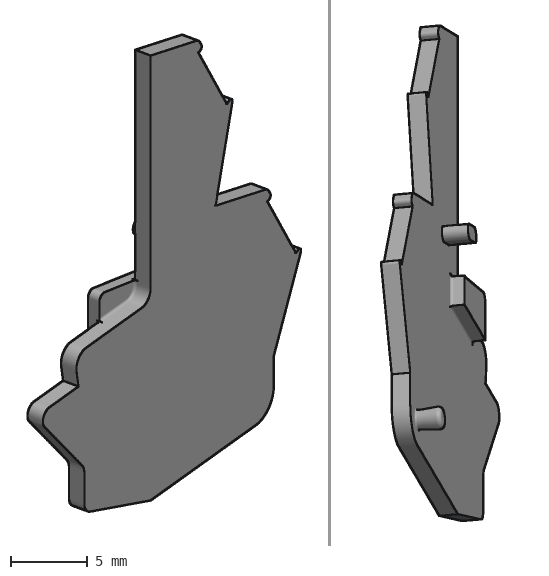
import cadquery as cq
import math

PLATE_THICKNESS = 1.25
PLATE_HEIGHT = 33.97
STEP_TILT = 15.0
STEP_SHIFT_Y = 7.68
STEP_SHIFT_Z = -15.13

FLANK_LEAN = 30.0
FLANK_TOP_Y = 5.36
FLANK_TOP_Z = 31.54
FLANK_LENGTH = 6.29
LIP_HEIGHT = 0.5
LIP_RADIUS = 0.25
STEP_CORNER_RADIUS = 0.6
STEP_INNER_SETBACK = 0.45

FLANK_BASE_LEAN = 25.0
BODY_LEFT_Y = 13.73
BODY_LEFT_TOP_Z = 4.3
BODY_LEFT_RADIUS = 2.0
BODY_RIGHT_Y = -7.38
BODY_RIGHT_TOP_Z = 6.12
BODY_RIGHT_RADIUS = 1.0
BOTTOM_RISE = 20.0

NOSE_TOP_Z = 12.65
NOSE_LEAN = 40.0
NOSE_RADIUS = 0.75
NECK_Y = -8.03
NECK_LEAN = 10.0
SHOULDER_Z = 15.19
SHOULDER_RADIUS = 1.1
INNER_RADIUS = 1.0

TAB_HEIGHT = 0.92
TAB_LEFT_Y = 2.05
TAB_RIGHT_Y = -3.99
TAB_BOTTOM_Z = 13.95
TAB_LEDGE_Z = 16.03
TAB_LEDGE_LENGTH = 0.3
TAB_SLOPE = 12.0
TAB_CORNER_RADIUS = 0.5
TAB_ROOT_RADIUS = 0.2

PEG_HEIGHT = 1.75
BOSS_Y = 3.38
BOSS_Z = 18.38
BOSS_WIDTH = 1.06
BOSS_LENGTH = 2.5

PIN_Y = 11.7
PIN_Z = 1.79
PIN_HEAD_RADIUS = 0.75
PIN_NECK_RADIUS = 0.65
PIN_NECK_LENGTH = 0.3
PIN_TIP_RADIUS = 0.3
PIN_ROOT_RADIUS = 0.13

SHEET_SIDE = 3 * PLATE_HEIGHT


def tan_deg(angle):
    return math.tan(math.radians(angle))


def direction(angle):
    """Unit vector in the (Y, Z) plane at an angle from +Y, in degrees."""
    return cq.Vector(math.cos(math.radians(angle)), math.sin(math.radians(angle)))


def meet(start, start_angle, other, other_angle):
    """Crossing point of two lines, each given by a point and an angle."""
    along = direction(start_angle)
    across = direction(other_angle + 90)
    return start + along * ((other - start).dot(across) / along.dot(across))


def rounded_outline(corners):
    """Closed YZ outline from (point, radius) corners; radius 0 leaves a sharp corner.

    The first corner must be sharp.
    """
    stretches = []
    for index, (point, radius) in enumerate(corners):
        back = (corners[index - 1][0] - point).normalized()
        ahead = (corners[(index + 1) % len(corners)][0] - point).normalized()
        half_angle = back.getAngle(ahead) / 2
        setback = radius / math.tan(half_angle)
        bulge = radius / math.sin(half_angle) - radius
        middle = point + (back + ahead).normalized() * bulge
        stretches.append((radius, point + back * setback, middle, point + ahead * setback))

    outline = cq.Workplane("YZ").moveTo(*stretches[0][3].toTuple()[:2])
    for radius, entry, middle, leave in stretches[1:]:
        outline = outline.lineTo(*entry.toTuple()[:2])
        if radius > 0:
            outline = outline.threePointArc(middle.toTuple()[:2], leave.toTuple()[:2])
    return outline.close()


def step_corners(shift, side_point, side_angle):
    """Corners of one step, from its sloping top down to the lip above the next side."""
    flank_angle = FLANK_LEAN - 90
    top_start = cq.Vector(0, PLATE_HEIGHT) + shift
    notch_top = cq.Vector(FLANK_TOP_Y, FLANK_TOP_Z) + shift
    notch_bottom = notch_top + direction(flank_angle) * FLANK_LENGTH
    lip_end = notch_top + direction(FLANK_LEAN) * LIP_HEIGHT
    return [
        (meet(top_start, -STEP_TILT, lip_end, flank_angle), STEP_CORNER_RADIUS),
        (lip_end, LIP_RADIUS),
        (notch_top, 0),
        (notch_bottom, 0),
        (meet(notch_bottom, FLANK_LEAN, side_point, side_angle), LIP_RADIUS),
    ]


def make_plate(depth):
    """Plate outline extruded along X by a signed depth."""
    step_shift = cq.Vector(STEP_SHIFT_Y, STEP_SHIFT_Z)
    lower_top = cq.Vector(0, PLATE_HEIGHT) + step_shift
    inner_corner = lower_top + direction(180 - STEP_TILT) * STEP_INNER_SETBACK
    body_left_top = cq.Vector(BODY_LEFT_Y, BODY_LEFT_TOP_Z)
    nose_length = (NOSE_TOP_Z - BODY_RIGHT_TOP_Z) * tan_deg(NOSE_LEAN)
    shoulder_y = NECK_Y - (SHOULDER_Z - NOSE_TOP_Z) * tan_deg(NECK_LEAN)

    corners = [(cq.Vector(0, PLATE_HEIGHT), 0)]
    corners += step_corners(cq.Vector(0, 0), inner_corner, 90 - STEP_TILT)
    corners += [(inner_corner, 0)]
    corners += step_corners(step_shift, body_left_top, 90 - FLANK_BASE_LEAN)
    corners += [
        (body_left_top, 0),
        (cq.Vector(BODY_LEFT_Y, 0), BODY_LEFT_RADIUS),
        (cq.Vector(0, 0), 0),
        (cq.Vector(BODY_RIGHT_Y, -BODY_RIGHT_Y * tan_deg(BOTTOM_RISE)), BODY_RIGHT_RADIUS),
        (cq.Vector(BODY_RIGHT_Y, BODY_RIGHT_TOP_Z), BODY_RIGHT_RADIUS),
        (cq.Vector(BODY_RIGHT_Y - nose_length, NOSE_TOP_Z), NOSE_RADIUS),
        (cq.Vector(NECK_Y, NOSE_TOP_Z), 0),
        (cq.Vector(shoulder_y, SHOULDER_Z), SHOULDER_RADIUS),
        (cq.Vector(0, SHOULDER_Z), INNER_RADIUS),
    ]
    return rounded_outline(corners).extrude(depth)


def make_tab(depth):
    """Tab outline extruded along X by a signed depth."""
    ledge_end_y = TAB_LEFT_Y - TAB_LEDGE_LENGTH
    right_top_z = TAB_LEDGE_Z + (ledge_end_y - TAB_RIGHT_Y) * tan_deg(TAB_SLOPE)
    corners = [
        (cq.Vector(TAB_LEFT_Y, TAB_BOTTOM_Z), 0),
        (cq.Vector(TAB_RIGHT_Y, TAB_BOTTOM_Z), 0),
        (cq.Vector(TAB_RIGHT_Y, right_top_z), TAB_CORNER_RADIUS),
        (cq.Vector(ledge_end_y, TAB_LEDGE_Z), 0),
        (cq.Vector(TAB_LEFT_Y, TAB_LEDGE_Z), 0),
    ]
    return rounded_outline(corners).extrude(depth)


def make_boss():
    return (
        cq.Workplane("YZ")
        .center(BOSS_Y, BOSS_Z)
        .slot2D(BOSS_LENGTH, BOSS_WIDTH, -STEP_TILT)
        .extrude(-PEG_HEIGHT)
    )


def make_pin():
    """Snap pin: flared root, short neck, body widening to a head with a rounded tip."""
    tip_start = PEG_HEIGHT - PIN_TIP_RADIUS
    mid_arc = math.sqrt(0.5)
    tip_flat_radius = PIN_HEAD_RADIUS - PIN_TIP_RADIUS
    root_center = PIN_NECK_RADIUS + PIN_ROOT_RADIUS
    profile = (
        cq.Workplane("XY")
        .moveTo(0, 0)
        .lineTo(0, root_center)
        .threePointArc(
            (-PIN_ROOT_RADIUS * (1 - mid_arc), root_center - PIN_ROOT_RADIUS * mid_arc),
            (-PIN_ROOT_RADIUS, PIN_NECK_RADIUS),
        )
        .lineTo(-PIN_NECK_LENGTH, PIN_NECK_RADIUS)
        .lineTo(-tip_start, PIN_HEAD_RADIUS)
        .threePointArc(
            (-tip_start - PIN_TIP_RADIUS * mid_arc, tip_flat_radius + PIN_TIP_RADIUS * mid_arc),
            (-PEG_HEIGHT, tip_flat_radius),
        )
        .lineTo(-PEG_HEIGHT, 0)
        .close()
    )
    return profile.revolve(360, (0, 0), (1, 0)).translate((0, PIN_Y, PIN_Z))


def make_tab_collar(tab):
    """Concave fillet at the root of the tab, ending where the plate ends."""
    sheet = cq.Workplane("YZ").rect(SHEET_SIDE, SHEET_SIDE).extrude(PLATE_THICKNESS)
    root = cq.selectors.BoxSelector(
        (-TAB_ROOT_RADIUS, TAB_RIGHT_Y - TAB_ROOT_RADIUS, TAB_BOTTOM_Z - TAB_ROOT_RADIUS),
        (TAB_ROOT_RADIUS, TAB_LEFT_Y + TAB_ROOT_RADIUS, PLATE_HEIGHT),
        boundingbox=True,
    )
    filleted = sheet.union(tab).edges(root).fillet(TAB_ROOT_RADIUS)
    return filleted.intersect(make_plate(-TAB_ROOT_RADIUS))


def make_notch_fillet(plate):
    """Concave fillet between the back of the overhanging tab and the notch walls."""
    sheet = cq.Workplane("YZ").rect(SHEET_SIDE, SHEET_SIDE).extrude(-TAB_HEIGHT)
    notch_wall = cq.selectors.BoxSelector(
        (-TAB_ROOT_RADIUS, NECK_Y, SHOULDER_Z - TAB_ROOT_RADIUS),
        (TAB_ROOT_RADIUS, TAB_ROOT_RADIUS, PLATE_HEIGHT + TAB_ROOT_RADIUS),
        boundingbox=True,
    )
    filleted = sheet.union(plate).edges(notch_wall).fillet(TAB_ROOT_RADIUS)
    return filleted.intersect(make_tab(TAB_ROOT_RADIUS))


plate = make_plate(PLATE_THICKNESS)
tab = make_tab(-TAB_HEIGHT)
result = plate.union(tab)
result = result.union(make_tab_collar(tab))
result = result.union(make_notch_fillet(plate))
result = result.union(make_boss()).union(make_pin())